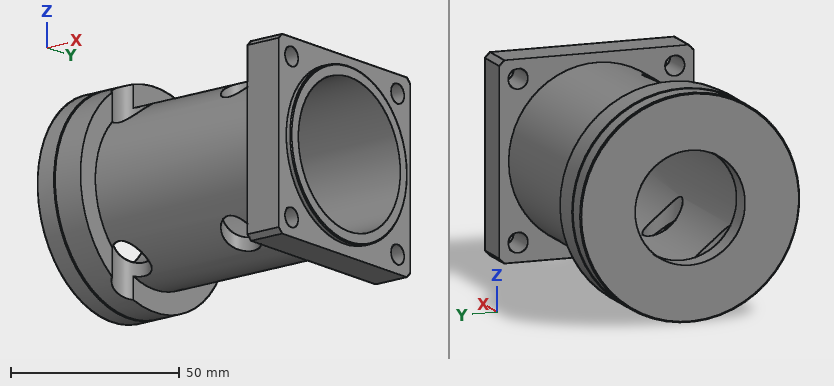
import cadquery as cq

overall_length = 91.5
seam_position = 6.6
flange_length = 16.8
plate_start = 77.7
plate_end = 89.7

flange_diameter = 70.0
tube_diameter = 56.0
spigot_diameter = 55.0
entry_diameter = 35.0
bore_diameter = 48.0

edge_chamfer = 0.4
seam_width = 0.4
seam_depth = 0.2
entry_depth = 7.0

plate_side = 62.0
plate_chamfer = 1.65
bolt_hole_diameter = 6.2
bolt_spacing = 50.0

cross_hole_diameter = 12.0
cross_hole_offset = 15.1
cross_hole_positions = (20.2, 62.2)


def cylinder(start, end, diameter):
    """Cylinder on the X axis between two axial positions."""
    return cq.Workplane("YZ", origin=(start, 0, 0)).circle(diameter / 2).extrude(end - start)


def make_flange():
    flange = cylinder(0, flange_length, flange_diameter).faces("<X").chamfer(edge_chamfer)
    seam_end = seam_position + seam_width
    seam_floor = cylinder(seam_position, seam_end, flange_diameter - 2 * seam_depth)
    seam = cylinder(seam_position, seam_end, flange_diameter).cut(seam_floor)
    return flange.cut(seam)


def make_plate():
    return (
        cq.Workplane("YZ", origin=(plate_start, 0, 0))
        .rect(plate_side, plate_side)
        .extrude(plate_end - plate_start)
        .edges("|X")
        .chamfer(plate_chamfer)
        .faces(">X")
        .workplane()
        .rect(bolt_spacing, bolt_spacing, forConstruction=True)
        .vertices()
        .hole(bolt_hole_diameter)
    )


def make_cross_holes():
    centers = [(x, -cross_hole_offset) for x in cross_hole_positions]
    return (
        cq.Workplane("XY")
        .pushPoints(centers)
        .circle(cross_hole_diameter / 2)
        .extrude(flange_diameter / 2, both=True)
    )


tube = cylinder(flange_length, plate_start, tube_diameter)
spigot = cylinder(plate_end, overall_length, spigot_diameter).faces(">X").chamfer(edge_chamfer)
body = make_flange().union(tube).union(make_plate()).union(spigot)

entry = cylinder(0, entry_depth, entry_diameter)
bore = cylinder(entry_depth, overall_length, bore_diameter)

result = body.cut(entry).cut(bore).cut(make_cross_holes())